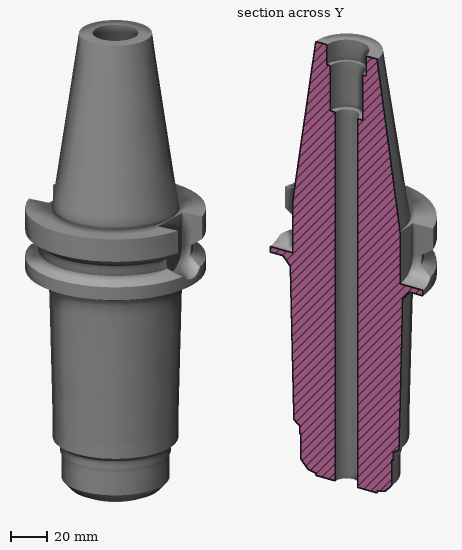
import cadquery as cq

total_height = 269.2
flange_diameter = 100.0
flange_radius = flange_diameter / 2
flange_top_z = 166.0
upper_rim_bottom_z = 153.0
groove_top_z = 147.8
groove_bottom_z = 142.0
lower_rim_top_z = 137.8
flange_bottom_z = 130.3
groove_radius = 42.8

taper_tip_radius = 20.2
taper_base_radius = 35.0
taper_base_z = 167.7

collar_radius = 41.5
body_top_radius = 37.0
body_top_z = 125.2
body_end_radius = 34.7
body_band_z = 39.3
body_end_z = 31.0

nose_step_radius = 30.7
nose_step_top_z = 28.0
nose_step_bottom_z = 23.2
nose_radius = 30.0
nose_chamfer_z = 7.5
nose_chamfer_radius = 25.3
nose_chamfer_end_z = 2.5
nose_lip_z = 1.3
nose_lip_radius = 20.2

slot_width = 25.5
slot_floor_x = 35.3
slot_bottom_z = 134.0

through_radius = 7.3
thread_radius = 10.5
counterbore_radius = 12.7
counterbore_depth = 12.5
thread_depth = 40.5


def make_holder():
    """Revolve the outer profile about Z, from the nose up to the taper tip."""
    outline = [
        (0, 0),
        (nose_lip_radius, 0),
        (nose_lip_radius, nose_lip_z),
        (nose_chamfer_radius, nose_chamfer_end_z),
        (nose_radius, nose_chamfer_z),
        (nose_radius, nose_step_bottom_z),
        (nose_step_radius, nose_step_bottom_z),
        (nose_step_radius, nose_step_top_z),
        (body_end_radius, body_end_z),
        (body_end_radius, body_band_z),
        (body_top_radius, body_top_z),
        (collar_radius, flange_bottom_z),
        (flange_radius, flange_bottom_z),
        (flange_radius, lower_rim_top_z),
        (groove_radius, groove_bottom_z),
        (groove_radius, groove_top_z),
        (flange_radius, upper_rim_bottom_z),
        (flange_radius, flange_top_z),
        (taper_base_radius, flange_top_z),
        (taper_base_radius, taper_base_z),
        (taper_tip_radius, total_height),
        (0, total_height),
    ]
    profile = cq.Workplane("XZ").polyline(outline).close()
    return profile.revolve(360, (0, 0, 0), (0, 1, 0))


def make_drive_slot(side):
    """Cutter for a round-bottomed slot on the +X (side = 1) or -X (side = -1) rim."""
    half_width = slot_width / 2
    arc_z = slot_bottom_z + half_width
    return (
        cq.Workplane("YZ", origin=(side * slot_floor_x, 0, 0))
        .moveTo(-half_width, flange_top_z)
        .lineTo(-half_width, arc_z)
        .threePointArc((0, slot_bottom_z), (half_width, arc_z))
        .lineTo(half_width, flange_top_z)
        .close()
        .extrude(side * flange_radius)
    )


def make_bore(radius, depth):
    """Cylinder cutting down from the taper tip."""
    return cq.Workplane("XY", origin=(0, 0, total_height)).circle(radius).extrude(-depth)


result = make_holder()
for side in (-1, 1):
    result = result.cut(make_drive_slot(side))

for radius, depth in (
    (counterbore_radius, counterbore_depth),
    (thread_radius, thread_depth),
    (through_radius, total_height),
):
    result = result.cut(make_bore(radius, depth))